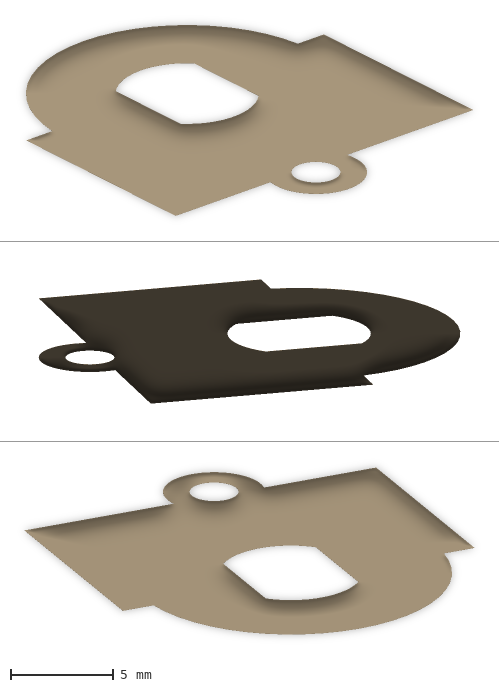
import cadquery as cq

thickness = 0.01
round_end_radius = 7.9

plate_left = -0.92
plate_right = 10.45
plate_width = 19.0

opening_radius = 3.5
opening_across_flats = 5.0

ear_radius = 2.5
ear_hole_radius = 1.2
overall_length = 21.4
ear_x = overall_length - round_end_radius - ear_radius
ear_y = -1.0


def disc(radius, x=0, y=0):
    """Flat disc of the sheet thickness, centred at (x, y)."""
    return cq.Workplane("XY").center(x, y).circle(radius).extrude(thickness)


def plate():
    """Rectangular body of the sheet."""
    length = plate_right - plate_left
    middle_x = (plate_left + plate_right) / 2
    return cq.Workplane("XY").center(middle_x, 0).rect(length, plate_width).extrude(thickness)


def double_flat_opening():
    """Round opening cut off by two flats parallel to X."""
    flats = cq.Workplane("XY").rect(2 * opening_radius, opening_across_flats).extrude(thickness)
    return disc(opening_radius).intersect(flats)


outline = plate().union(disc(round_end_radius)).union(disc(ear_radius, ear_x, ear_y))
result = outline.cut(double_flat_opening()).cut(disc(ear_hole_radius, ear_x, ear_y))